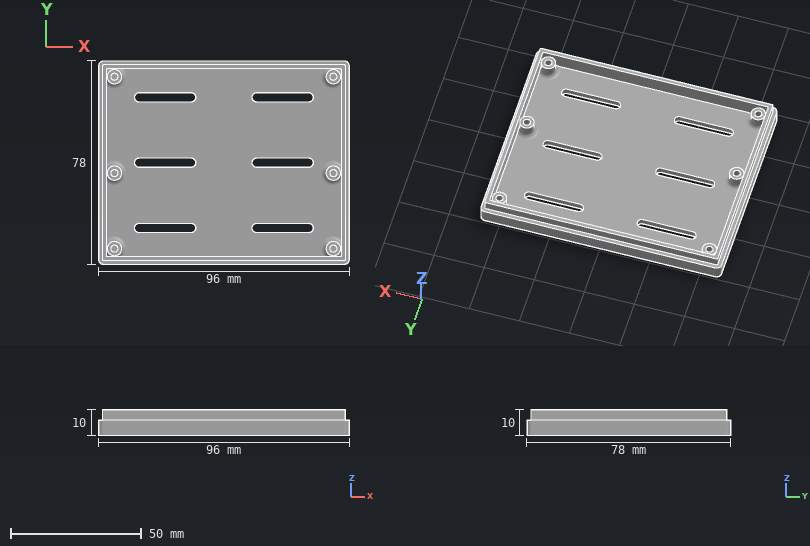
import cadquery as cq

length = 96.0
width = 78.0
base_height = 6.0
corner_radius = 2.0
floor_thickness = 3.0

total_height = 10.0
lip_inset = 1.5
lip_thickness = 1.5
lip_corner_radius = corner_radius - lip_inset
cavity_corner_radius = 0.5

lip_length = length - 2 * lip_inset
lip_width = width - 2 * lip_inset
cavity_length = lip_length - 2 * lip_thickness
cavity_width = lip_width - 2 * lip_thickness

boss_top = 8.4
boss_radius = 2.75
boss_hole_radius = 1.35
boss_flare_radius = 2.0
boss_wall_offset = 3.1
boss_x = cavity_length / 2 - boss_wall_offset
boss_corner_y = cavity_width / 2 - boss_wall_offset
boss_middle_y = -4.0

slot_length = 23.4
slot_width = 3.4
slot_x = 22.5
slot_pitch_y = 25.0


def rounded_block(size_x, size_y, z_bottom, z_top, radius):
    """Block centred on Z with rounded vertical edges."""
    block = cq.Workplane("XY").workplane(offset=z_bottom).rect(size_x, size_y).extrude(z_top - z_bottom)
    return block.edges("|Z").fillet(radius)


def flared_boss():
    """Solid boss standing on the floor, with a concave fillet around its foot."""
    foot_radius = boss_radius + boss_flare_radius
    flare_top = floor_thickness + boss_flare_radius
    profile = (
        cq.Workplane("XZ")
        .moveTo(0, 0)
        .lineTo(foot_radius, 0)
        .lineTo(foot_radius, floor_thickness)
        .radiusArc((boss_radius, flare_top), boss_flare_radius)
        .lineTo(boss_radius, boss_top)
        .lineTo(0, boss_top)
        .close()
    )
    return profile.revolve(360, (0, 0, 0), (0, 1, 0))


def make_tray():
    """Base with the stepped lip, hollowed out down to the floor."""
    base = rounded_block(length, width, 0, base_height, corner_radius)
    lip = rounded_block(lip_length, lip_width, 0, total_height, lip_corner_radius)
    cavity = rounded_block(cavity_length, cavity_width, floor_thickness, total_height, cavity_corner_radius)
    return base.union(lip).cut(cavity)


def add_bosses(body):
    """Three bosses along each short wall, with blind holes down to the floor."""
    limits = rounded_block(cavity_length, cavity_width, 0, total_height, cavity_corner_radius)
    centres = [(x, y) for x in (-boss_x, boss_x) for y in (-boss_corner_y, boss_middle_y, boss_corner_y)]
    for x, y in centres:
        body = body.union(flared_boss().translate((x, y, 0)).intersect(limits))
    holes = (
        cq.Workplane("XY")
        .workplane(offset=floor_thickness)
        .pushPoints(centres)
        .circle(boss_hole_radius)
        .extrude(boss_top - floor_thickness)
    )
    return body.cut(holes)


def cut_slots(body):
    """Two columns of three slots, parallel to X, through the floor."""
    centres = [(x, row * slot_pitch_y) for x in (-slot_x, slot_x) for row in (-1, 0, 1)]
    slots = cq.Workplane("XY").pushPoints(centres).slot2D(slot_length, slot_width).extrude(floor_thickness)
    return body.cut(slots)


result = cut_slots(add_bosses(make_tray()))